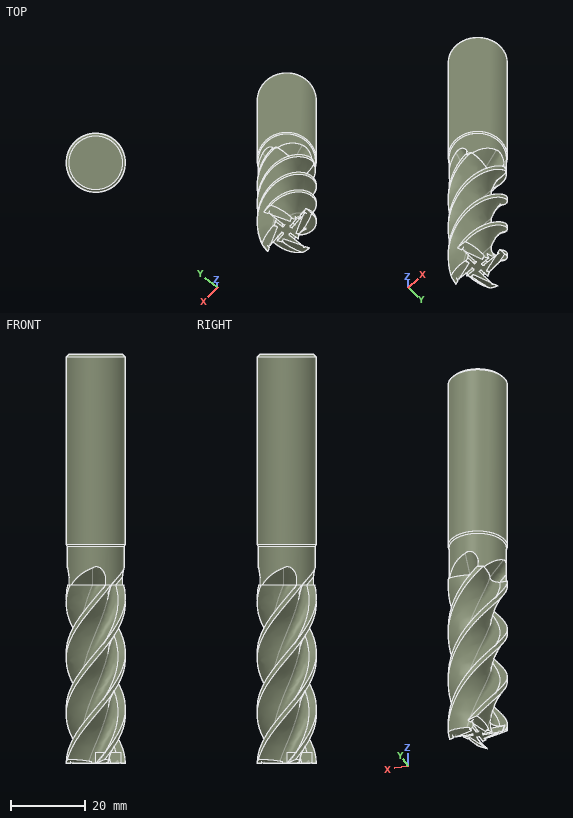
import cadquery as cq
import math

TOTAL_LENGTH = 110.0
CUT_LENGTH = 48.0
SHANK_DIAMETER = 16.0
SHANK_RADIUS = SHANK_DIAMETER / 2
NECK_RADIUS = 7.7
NECK_TOP = 58.3
NECK_CHAMFER_HEIGHT = 0.5
END_CHAMFER = 0.8

FLUTE_COUNT = 4
FLUTE_PITCH_ANGLE = 360 / FLUTE_COUNT
HELIX_ANGLE = 40.0
LEAD = 2 * math.pi * SHANK_RADIUS / math.tan(math.radians(HELIX_ANGLE))
TWIST = 360 * CUT_LENGTH / LEAD
RAKE_X = 2.6
RAKE_END = (RAKE_X, -5.4)
FLANK_FOOT = (-0.9, -3.8)
FLOOR_BULGE = 0.9
FLANK_BULGE = 0.28
LAND_ANGLE = 11.0
OUTSIDE = SHANK_DIAMETER
EXIT_RISE = 1.2

END_RELIEF = 0.5
GASH_HEIGHT = 3.0
GASH_TIP_WIDTH = 0.7
GASH_TOP_WIDTH = 2.8
GASH_TIP_INNER = 1.3
GASH_TOP_INNER = 1.8
GASH_OUTER = 6.8


def on_circle(radius, degrees):
    angle = math.radians(degrees)
    return (radius * math.cos(angle), radius * math.sin(angle))


def turned(point, degrees):
    angle = math.radians(degrees)
    x, y = point
    return (x * math.cos(angle) - y * math.sin(angle), x * math.sin(angle) + y * math.cos(angle))


def turned_about_axis(body, degrees):
    return body.rotate((0, 0, 0), (0, 0, 1), degrees)


def arc_middle(start, end, bulge):
    """Middle of the arc from start to end that bulges to the left of its chord."""
    run = end[0] - start[0]
    rise = end[1] - start[1]
    share = bulge / math.hypot(run, rise)
    return ((start[0] + end[0]) / 2 - rise * share, (start[1] + end[1]) / 2 + run * share)


def flute_points():
    """Heel, flank middle, floor middle and tip of one flute at the full cutting radius."""
    tip = (RAKE_X, -math.sqrt(SHANK_RADIUS**2 - RAKE_X**2))
    tip_angle = math.degrees(math.atan2(tip[1], tip[0]))
    heel = on_circle(SHANK_RADIUS, tip_angle - FLUTE_PITCH_ANGLE + LAND_ANGLE)
    flank_middle = arc_middle(heel, FLANK_FOOT, -FLANK_BULGE)
    floor_middle = arc_middle(FLANK_FOOT, RAKE_END, FLOOR_BULGE)
    return heel, flank_middle, floor_middle, tip


def make_shank():
    profile = (
        cq.Workplane("XZ")
        .moveTo(0, CUT_LENGTH)
        .lineTo(NECK_RADIUS, CUT_LENGTH)
        .lineTo(NECK_RADIUS, NECK_TOP)
        .lineTo(SHANK_RADIUS, NECK_TOP + NECK_CHAMFER_HEIGHT)
        .lineTo(SHANK_RADIUS, TOTAL_LENGTH - END_CHAMFER)
        .lineTo(SHANK_RADIUS - END_CHAMFER, TOTAL_LENGTH)
        .lineTo(0, TOTAL_LENGTH)
        .close()
    )
    shank = profile.revolve(360, (0, 0, 0), (0, 1, 0))
    for index in range(FLUTE_COUNT):
        shank = shank.cut(turned_about_axis(flute_exit(), index * FLUTE_PITCH_ANGLE))
    return shank


def flute_exit():
    """The flute continued straight outward and upward until it leaves the neck."""
    heel, flank_middle, floor_middle, _ = flute_points()
    outline = (
        cq.Workplane("XY", origin=(0, 0, CUT_LENGTH))
        .moveTo(*heel)
        .threePointArc(flank_middle, FLANK_FOOT)
        .threePointArc(floor_middle, RAKE_END)
        .lineTo(RAKE_X, -OUTSIDE)
        .lineTo(heel[0], -OUTSIDE)
        .close()
        .wire()
        .val()
    )
    sweep = cq.Vector(0, -SHANK_RADIUS, SHANK_RADIUS * EXIT_RISE)
    return cq.Workplane(obj=cq.Solid.extrudeLinear(outline, [], sweep))


def cutter_section():
    """Cross-section of all the teeth, in the same turn as the flutes that leave the neck."""
    heel, flank_middle, floor_middle, tip = flute_points()
    tip_angle = math.degrees(math.atan2(tip[1], tip[0]))
    land_middle = on_circle(SHANK_RADIUS, tip_angle + LAND_ANGLE / 2)
    section = cq.Workplane("XY").moveTo(*heel)
    for index in range(FLUTE_COUNT):
        turn = index * FLUTE_PITCH_ANGLE
        next_heel = turned(heel, turn + FLUTE_PITCH_ANGLE)
        section = (
            section.threePointArc(turned(flank_middle, turn), turned(FLANK_FOOT, turn))
            .threePointArc(turned(floor_middle, turn), turned(RAKE_END, turn))
            .lineTo(*turned(tip, turn))
            .threePointArc(turned(land_middle, turn), next_heel)
        )
    return section.close()


def make_cutter():
    cutter = cutter_section().twistExtrude(CUT_LENGTH, TWIST)
    for index in range(FLUTE_COUNT):
        cutter = cutter.cut(turned_about_axis(end_relief(), index * FLUTE_PITCH_ANGLE))
    cutter = turned_about_axis(cutter, -TWIST)
    for index in range(FLUTE_COUNT):
        cutter = cutter.cut(turned_about_axis(gash(), index * FLUTE_PITCH_ANGLE))
    return cutter


def end_relief():
    """Wedge under one tooth, hinged on the tip end of its rake wall."""
    return (
        cq.Workplane("XZ")
        .moveTo(RAKE_X, 0)
        .lineTo(OUTSIDE, (OUTSIDE - RAKE_X) * END_RELIEF)
        .lineTo(OUTSIDE, 0)
        .close()
        .extrude(OUTSIDE)
    )


def gash():
    """Pocket in front of the end cutting edge along -Y; its floor leans outward as it rises."""
    side = (
        cq.Workplane("YZ")
        .polyline(
            [
                (-GASH_TIP_INNER, 0),
                (-GASH_TOP_INNER, GASH_HEIGHT),
                (-GASH_OUTER, GASH_HEIGHT),
                (-GASH_OUTER, 0),
            ]
        )
        .close()
        .extrude(GASH_TOP_WIDTH)
    )
    rake_wedge = (
        cq.Workplane("XZ")
        .polyline([(0, 0), (GASH_TIP_WIDTH, 0), (GASH_TOP_WIDTH, GASH_HEIGHT), (0, GASH_HEIGHT)])
        .close()
        .extrude(OUTSIDE)
    )
    return side.intersect(rake_wedge)


shank = make_shank()
cutter = make_cutter()
result = cq.Compound.makeCompound([shank.val(), cutter.val()])